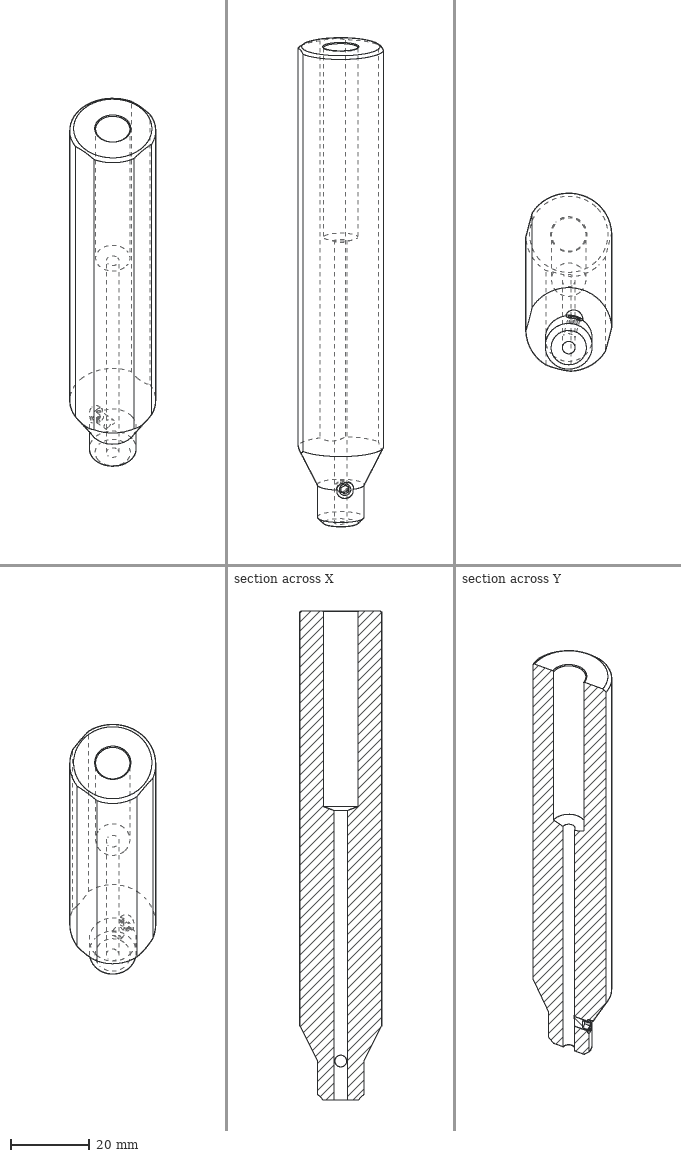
import cadquery as cq
import math

length = 125.0
grip_radius = 11.0
flat_offset = 10.5
top_chamfer_height = 0.8
top_chamfer_width = 1.0
neck_radius = 6.0
neck_length = 10.0
taper_top = 20.0
tip_chamfer = 1.5

bore_radius = 4.4
bore_rim_chamfer = 0.2
bore_depth = 50.0
bore_cone_angle = 140.0
through_radius = 1.6

screw_radius = 1.5
spot_face_radius = 2.2
spot_face_recess = 0.4
screw_outer_end = spot_face_recess - neck_radius
socket_across_flats = 2.0
socket_depth = 1.5


def make_blank():
    """Turned outside shape of the housing."""
    return (
        cq.Workplane("XZ")
        .moveTo(0, 0)
        .lineTo(neck_radius - tip_chamfer, 0)
        .lineTo(neck_radius, tip_chamfer)
        .lineTo(neck_radius, neck_length)
        .lineTo(grip_radius, taper_top)
        .lineTo(grip_radius, length - top_chamfer_height)
        .lineTo(grip_radius - top_chamfer_width, length)
        .lineTo(0, length)
        .close()
        .revolve(360, (0, 0), (0, 1))
    )


def make_flats_envelope():
    """Block that leaves grip flats on the -Y, +Y and +X sides and clears the -X side."""
    return (
        cq.Workplane("XY")
        .box(4 * flat_offset, 2 * flat_offset, length, centered=(True, True, False))
        .translate((-flat_offset, 0, 0))
    )


def make_axial_bore():
    """Blind bore with a drill-point floor, running into a small through hole."""
    cone_height = (bore_radius - through_radius) / math.tan(math.radians(bore_cone_angle / 2))
    floor = length - bore_depth
    return (
        cq.Workplane("XZ")
        .moveTo(0, 0)
        .lineTo(through_radius, 0)
        .lineTo(through_radius, floor - cone_height)
        .lineTo(bore_radius, floor)
        .lineTo(bore_radius, length - bore_rim_chamfer)
        .lineTo(bore_radius + bore_rim_chamfer, length)
        .lineTo(0, length)
        .close()
        .revolve(360, (0, 0), (0, 1))
    )


def screw_plane(x):
    """Plane across the screw axis at the given X, facing the part axis from -X."""
    return cq.Workplane(cq.Plane(origin=(x, 0, neck_length), xDir=(0, 0, 1), normal=(1, 0, 0)))


def make_screw_hole():
    """Radial hole from the spot face to the axis, with the spot face cleared outward."""
    hole = screw_plane(screw_outer_end).circle(screw_radius).extrude(-screw_outer_end)
    spot_face = screw_plane(-grip_radius).circle(spot_face_radius).extrude(grip_radius + screw_outer_end)
    return spot_face.union(hole)


def make_housing():
    return make_blank().intersect(make_flats_envelope()).cut(make_axial_bore()).cut(make_screw_hole())


def make_set_screw():
    """Headless screw, flush with the spot face, stopping short of the through hole."""
    body = screw_plane(screw_outer_end).circle(screw_radius).extrude(-through_radius - screw_outer_end)
    socket_corner_diameter = socket_across_flats / math.cos(math.pi / 6)
    socket = screw_plane(screw_outer_end).polygon(6, socket_corner_diameter).extrude(socket_depth)
    return body.cut(socket)


housing = make_housing()
set_screw = make_set_screw()

result = cq.Compound.makeCompound([housing.solids().val(), set_screw.solids().val()])